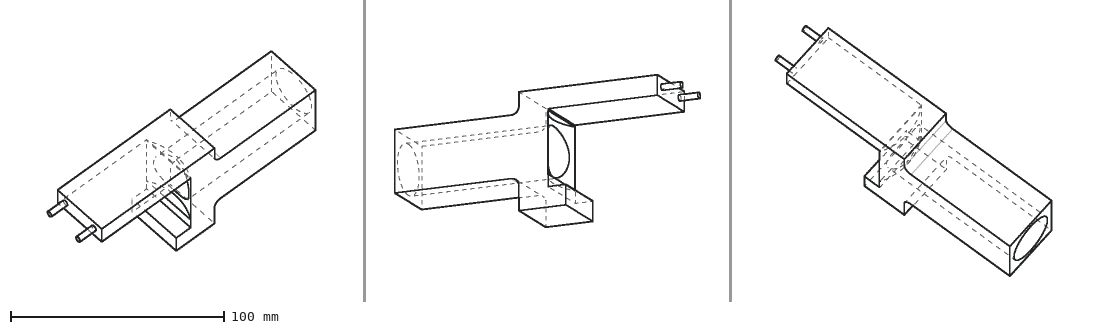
import cadquery as cq
import math

width = 31.0
length = 145.0
height = 58.0

pin_length = 10.0
toe_front = 57.0
leg_front = 66.1
leg_back = 81.2

arm_thickness = 10.0
toe_height = 10.0
body_center_z = 31.6
body_bottom = body_center_z - width / 2
body_top = body_center_z + width / 2
neck_fillet = 3.9

bore_diameter = 25.0
saddle_radius = 30.0
pin_diameter = 3.0
pin_spacing = 20.0
pin_drop = 4.6


def make_body():
    """Side profile extruded across the width, with filleted neck corners."""
    arm_bottom = height - arm_thickness
    outline = [
        (toe_front, 0),
        (leg_back, 0),
        (leg_back, body_bottom),
        (length, body_bottom),
        (length, body_top),
        (leg_back, body_top),
        (leg_back, height),
        (pin_length, height),
        (pin_length, arm_bottom),
        (leg_front, arm_bottom),
        (leg_front, toe_height),
        (toe_front, toe_height),
    ]
    body = cq.Workplane("YZ").polyline(outline).close().extrude(width / 2, both=True)
    for neck_z in (body_bottom, body_top):
        neck = cq.selectors.NearestToPointSelector((0, leg_back, neck_z))
        body = body.edges("|X").edges(neck).fillet(neck_fillet)
    return body


def make_bore():
    """Round bore running through the square body along Y."""
    return (
        cq.Workplane("XZ", origin=(0, length, body_center_z))
        .circle(bore_diameter / 2)
        .extrude(length - toe_front)
    )


def make_saddle():
    """Upright cylinder that hollows the leg front across its full width."""
    axis_setback = math.sqrt(saddle_radius**2 - (width / 2) ** 2)
    return (
        cq.Workplane("XY", origin=(0, leg_front - axis_setback, body_bottom))
        .circle(saddle_radius)
        .extrude(body_top - body_bottom)
    )


def make_pins():
    """Two round pins projecting from the end of the arm."""
    return (
        cq.Workplane("XZ", origin=(0, pin_length, height - pin_drop))
        .pushPoints([(-pin_spacing / 2, 0), (pin_spacing / 2, 0)])
        .circle(pin_diameter / 2)
        .extrude(pin_length)
    )


result = make_body().cut(make_bore()).cut(make_saddle()).union(make_pins())